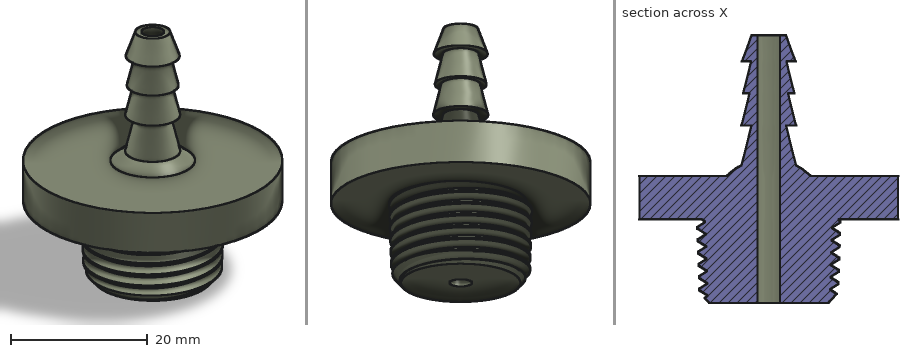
import cadquery as cq
import math

flange_radius = 19.04
flange_height = 6.4
bore_radius = 1.65

dome_height = 1.55
dome_base_radius = 6.2
dome_bulge = 0.1
barbs = [
    (5.8, 4.05, 2.6),
    (4.7, 4.05, 2.85),
    (4.7, 3.8, 2.65),
    (3.85, 3.95, 2.55),
]

thread_length = 12.25
thread_top_radius = 10.55
taper_slope = 1 / 32
pitch = 1.8
thread_depth = 1.2
crest_width = 0.28
first_root_drop = 0.8
tip_radius = 8.75
tip_chamfer_slope = 1.1
overrun = 1.18

flange_bottom = thread_length
flange_top = flange_bottom + flange_height
part_height = flange_top + dome_height + sum(height for height, _, _ in barbs)


def crest_radius(z):
    return thread_top_radius - (flange_bottom - z) * taper_slope


def make_hose_tail():
    neck_radius = barbs[0][1]
    neck_z = flange_top + dome_height
    chord = math.hypot(dome_base_radius - neck_radius, dome_height)
    bulge_point = (
        (dome_base_radius + neck_radius) / 2 + dome_bulge * dome_height / chord,
        flange_top + dome_height / 2 + dome_bulge * (dome_base_radius - neck_radius) / chord,
    )
    profile = (
        cq.Workplane("XZ")
        .moveTo(0, flange_top)
        .lineTo(dome_base_radius, flange_top)
        .threePointArc(bulge_point, (neck_radius, neck_z))
    )
    z = neck_z
    for index, (height, lower_radius, upper_radius) in enumerate(barbs):
        if index > 0:
            profile = profile.lineTo(lower_radius, z)
        z += height
        profile = profile.lineTo(upper_radius, z)
    return profile.lineTo(0, z).close().revolve(360, (0, 0, 0), (0, 1, 0))


def make_thread_blank():
    """Tapered plug with a chamfered tip, running up into the flange."""
    chamfer_height = (crest_radius(0) - tip_radius) / (1 / tip_chamfer_slope - taper_slope)
    top = flange_bottom + overrun
    return (
        cq.Workplane("XZ")
        .moveTo(0, 0)
        .lineTo(tip_radius, 0)
        .lineTo(crest_radius(chamfer_height), chamfer_height)
        .lineTo(crest_radius(top), top)
        .lineTo(0, top)
        .close()
        .revolve(360, (0, 0, 0), (0, 1, 0))
        .rotate((0, 0, 0), (0, 0, 1), -90)
    )


def make_thread_groove():
    """V groove swept along a conical helix from below the tip to inside the flange."""
    turns = math.ceil(thread_length / pitch) + 2
    start_z = flange_bottom - first_root_drop - (turns - 1) * pitch
    root_radius = crest_radius(start_z) - thread_depth
    helix = cq.Wire.makeHelix(
        pitch,
        turns * pitch,
        root_radius,
        center=cq.Vector(0, 0, start_z),
        angle=math.degrees(math.atan(taper_slope)),
    )
    mouth_margin = 0.05
    flank_slope = (pitch - crest_width) / 2 / thread_depth
    mouth_depth = thread_depth + mouth_margin
    half_mouth = flank_slope * mouth_depth
    return (
        cq.Workplane("XZ")
        .moveTo(root_radius, start_z)
        .lineTo(root_radius + mouth_depth, start_z + half_mouth)
        .lineTo(root_radius + mouth_depth, start_z - half_mouth)
        .close()
        .sweep(cq.Workplane(helix), isFrenet=True)
    )


flange = cq.Workplane("XY").workplane(offset=flange_bottom).circle(flange_radius).extrude(flange_height)
thread = make_thread_blank().cut(make_thread_groove())
bore = cq.Workplane("XY").circle(bore_radius).extrude(part_height)

result = thread.union(flange).union(make_hose_tail()).cut(bore)